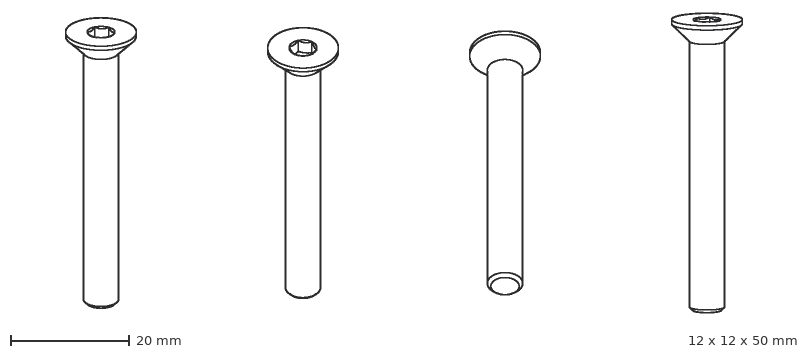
import cadquery as cq
import math

length = 50.0
shank_radius = 3.0
head_radius = 6.0
rim_height = 0.75
tip_chamfer = 0.6

socket_flats = 4.05
socket_depth = 2.25
lead_in_radius = 2.35
lead_in_angle = 45.0
floor_angle = 30.0
floor_flat_radius = 0.35

rim_bottom = length - rim_height
head_bottom = rim_bottom - (head_radius - shank_radius)


def screw_body():
    profile = [
        (0, 0),
        (shank_radius - tip_chamfer, 0),
        (shank_radius, tip_chamfer),
        (shank_radius, head_bottom),
        (head_radius, rim_bottom),
        (head_radius, length),
        (0, length),
    ]
    return cq.Workplane("XZ").polyline(profile).close().revolve(360, (0, 0), (0, 1))


def cone_down(radius, tip_radius, top, angle):
    """Blunt cone pointing down, its side sloping at the given angle from horizontal."""
    bottom = top - (radius - tip_radius) * math.tan(math.radians(angle))
    profile = [(0, bottom), (tip_radius, bottom), (radius, top), (0, top)]
    return cq.Workplane("XZ").polyline(profile).close().revolve(360, (0, 0), (0, 1))


def hex_socket():
    corner_radius = socket_flats / math.sqrt(3)
    floor_top = length - socket_depth
    floor_drop = corner_radius * math.tan(math.radians(floor_angle))
    hexagon = (
        cq.Workplane("XY")
        .workplane(offset=floor_top - floor_drop)
        .polygon(6, 2 * corner_radius)
        .extrude(socket_depth + floor_drop)
    )
    bore = (
        cq.Workplane("XY")
        .workplane(offset=floor_top)
        .circle(lead_in_radius)
        .extrude(socket_depth)
        .union(cone_down(lead_in_radius, floor_flat_radius, floor_top, floor_angle))
    )
    return hexagon.intersect(bore)


lead_in = cone_down(lead_in_radius, floor_flat_radius, length, lead_in_angle)
result = screw_body().cut(hex_socket()).cut(lead_in)